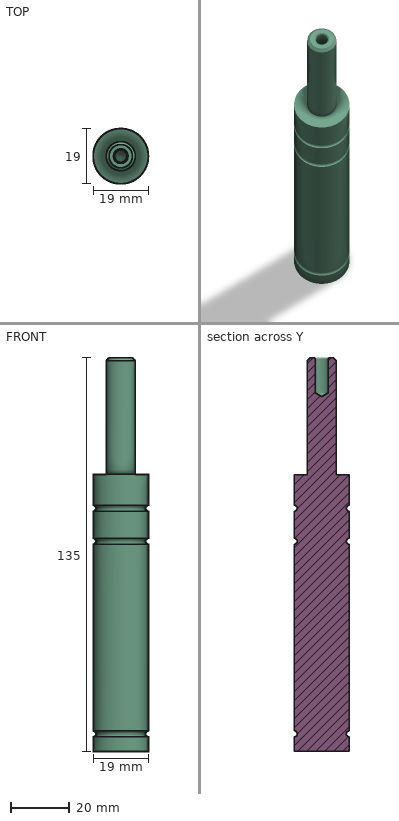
import cadquery as cq
import math

total_length = 135.0
body_diameter = 19.0
body_length = 95.0
rod_diameter = 10.0
rod_chamfer = 1.0

groove_radius = 1.0
groove_heights = (6.1, 72.1, 83.4)

hole_diameter = 4.2
hole_mouth_diameter = 5.0
hole_depth = 12.0
drill_point_angle = 118.0

body_radius = body_diameter / 2
hole_radius = hole_diameter / 2
hole_mouth_radius = hole_mouth_diameter / 2


def make_body():
    return cq.Workplane("XY").circle(body_radius).extrude(body_length)


def make_rod():
    rod = cq.Workplane("XY").circle(rod_diameter / 2).extrude(total_length)
    return rod.faces(">Z").chamfer(rod_chamfer)


def make_ring_groove(height):
    """Ring with a round section centred on the body surface."""
    ring = cq.Solid.makeTorus(body_radius, groove_radius)
    return cq.Workplane(ring).translate((0, 0, height))


def make_rod_hole():
    mouth_depth = hole_mouth_radius - hole_radius
    hole_floor = total_length - hole_depth
    point_depth = hole_radius / math.tan(math.radians(drill_point_angle / 2))
    profile = cq.Workplane("XZ").polyline([
        (0, total_length),
        (hole_mouth_radius, total_length),
        (hole_radius, total_length - mouth_depth),
        (hole_radius, hole_floor),
        (0, hole_floor - point_depth),
    ]).close()
    return profile.revolve(360, (0, 0, 0), (0, 1, 0))


result = make_body().union(make_rod()).cut(make_rod_hole())
for groove_height in groove_heights:
    result = result.cut(make_ring_groove(groove_height))